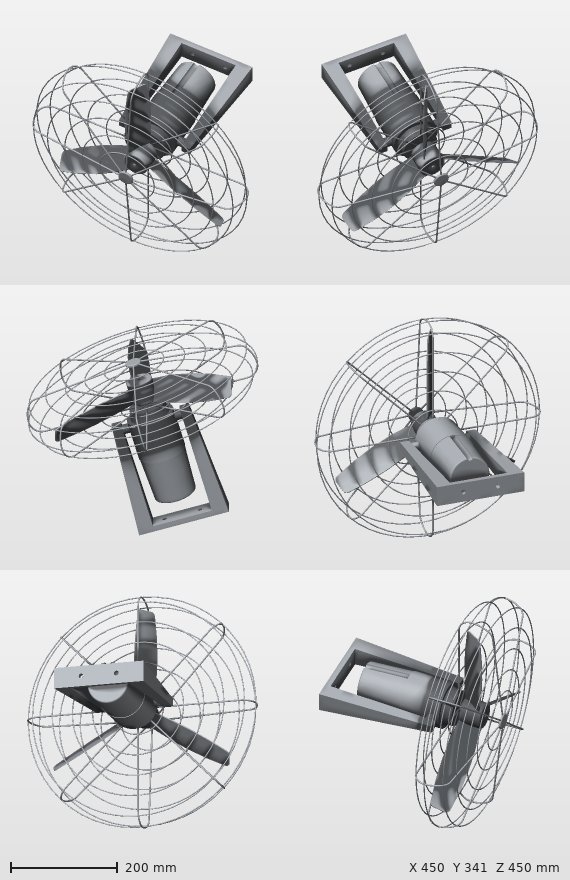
import cadquery as cq
import math


guard_radius = 225.0
total_depth = 341.0

wall_half_width = 87.8
wall_half_height = 20.0
tip_half_width = 75.5
tip_half_height = 7.5
arm_inner_x = 57.5
arm_tip_y = 115.5
wall_plate_thickness = 11.0
screw_hole_spacing = 69.5
screw_hole_diameter = 9.0
pin_diameter = 18.5
pin_y = 130.0

motor_radius = 45.5
motor_front_y = 114.5
motor_step_y = 194.5
motor_rear_y = 285.0
cover_front_radius = 44.5
cover_rear_radius = 40.0
cover_fillet = 3.0
groove_radius = 6.5
neck_rear_radius = 38.0
neck_front_radius = 34.5
neck_front_y = 93.0

hub_radius = 25.0
hub_front_y = 38.5
hub_rear_y = 82.5
hub_fillet = 2.5
shaft_radius = 3.0
shaft_overhang = 2.5
blade_count = 3
blade_thickness = 2.2
blade_pitch = 32.0
blade_center_x = -5.5
blade_center_y = 60.8
blade_root = 21.5
blade_belly = 99.0
blade_tip = 199.0
blade_tip_fillet = 9.0
rear_edge_root, rear_edge_belly, rear_edge_tip = 25.0, 28.5, 18.0
front_edge_root, front_edge_belly, front_edge_tip = 19.0, 28.0, 20.5

spoke_count = 8
spoke_diameter = 3.0
spoke_rear_y = 92.2
spoke_rear_start = 2.2
spoke_front_end = 6.8
spoke_outer_radius = 223.0
rim_bend_radius = 25.5
side_bend_radius = 61.0
side_bend_angle = math.radians(34.0)
front_bend_radius = 21.0
front_slope = math.radians(6.2)
ring_wire_radius = 1.12
ring_pitch = 39.5
front_ring_count = 4
front_ring_first = 58.0
rear_ring_count = 5
rear_ring_first = 50.0
rim_ring_y = 66.5
badge_radius = 15.5
badge_thickness = 4.5
badge_fillet = 2.2

rim_bend_start = (spoke_outer_radius - rim_bend_radius, spoke_rear_y)
rim_bend_end = (spoke_outer_radius, spoke_rear_y - rim_bend_radius)
side_bend_end = (
    spoke_outer_radius - side_bend_radius * (1 - math.cos(side_bend_angle)),
    rim_bend_end[1] - side_bend_radius * math.sin(side_bend_angle),
)
front_bend_end = (
    side_bend_end[0] - front_bend_radius * (math.cos(side_bend_angle) - math.sin(front_slope)),
    side_bend_end[1] - front_bend_radius * (math.cos(front_slope) - math.sin(side_bend_angle)),
)


def front_wire_y(radius):
    """Y of the spoke center line on the conical front, at a distance from the fan axis."""
    return front_bend_end[1] - (front_bend_end[0] - radius) * math.tan(front_slope)


def rear_wire_y(radius):
    """Y of the spoke center line on the flat rear and its rim bend, at a distance from the fan axis."""
    bend_offset = max(0, radius - rim_bend_start[0])
    return rim_bend_end[1] + math.sqrt(rim_bend_radius**2 - bend_offset**2)


def y_cylinder(radius, y_start, y_end):
    """Cylinder on the fan axis between two Y positions."""
    return cq.Workplane("XZ", origin=(0, y_start, 0)).circle(radius).extrude(y_start - y_end)


def make_bracket():
    """Tapered U-shaped bracket with two screw holes through the wall plate."""
    block = (
        cq.Workplane("XZ", origin=(0, total_depth, 0))
        .rect(2 * wall_half_width, 2 * wall_half_height)
        .workplane(offset=total_depth - arm_tip_y)
        .rect(2 * tip_half_width, 2 * tip_half_height)
        .loft(ruled=True)
    )
    inner_length = total_depth - wall_plate_thickness
    opening = cq.Workplane("XY").box(
        2 * arm_inner_x, inner_length, 3 * wall_half_height, centered=(True, False, True)
    )
    screw_holes = (
        cq.Workplane("XZ", origin=(0, total_depth, 0))
        .pushPoints([(-screw_hole_spacing / 2, 0), (screw_hole_spacing / 2, 0)])
        .circle(screw_hole_diameter / 2)
        .extrude(2 * wall_plate_thickness)
    )
    return block.cut(opening).cut(screw_holes)


def make_pivot_pin():
    """Cross pin that joins both bracket arms to the motor."""
    return (
        cq.Workplane("YZ", origin=(-arm_inner_x, pin_y, 0))
        .circle(pin_diameter / 2)
        .extrude(2 * arm_inner_x)
    )


def make_motor():
    """Motor body, tapered rear cover with a top groove, and flared front neck."""
    flare_length = motor_front_y - neck_front_y
    flare_depth = neck_rear_radius - neck_front_radius
    flare_radius = (flare_length**2 + flare_depth**2) / (2 * flare_depth)
    body = (
        cq.Workplane("XY")
        .moveTo(0, neck_front_y)
        .lineTo(neck_front_radius, neck_front_y)
        .radiusArc((neck_rear_radius, motor_front_y), flare_radius)
        .lineTo(motor_radius, motor_front_y)
        .lineTo(motor_radius, motor_step_y)
        .lineTo(cover_front_radius, motor_step_y)
        .lineTo(cover_rear_radius, motor_rear_y)
        .lineTo(0, motor_rear_y)
        .close()
        .revolve(360, (0, 0, 0), (0, 1, 0))
        .faces(">Y")
        .edges()
        .fillet(cover_fillet)
    )
    cover_length = motor_rear_y - motor_step_y
    cover_slope = (cover_rear_radius - cover_front_radius) / cover_length
    groove_plane = cq.Plane(
        origin=(0, motor_step_y, cover_front_radius), xDir=(1, 0, 0), normal=(0, 1, cover_slope)
    )
    groove = cq.Workplane(groove_plane).circle(groove_radius).extrude(2 * cover_length)
    return body.cut(groove)


def make_blade():
    """Flat pitched blade that points up from the hub."""
    blade = (
        cq.Workplane("YZ")
        .moveTo(-front_edge_root, blade_root)
        .threePointArc((-front_edge_belly, blade_belly), (-front_edge_tip, blade_tip))
        .lineTo(rear_edge_tip, blade_tip)
        .threePointArc((rear_edge_belly, blade_belly), (rear_edge_root, blade_root))
        .close()
        .extrude(blade_thickness / 2, both=True)
        .edges("|X and >Z")
        .fillet(blade_tip_fillet)
    )
    return blade.rotate((0, 0, 0), (0, 0, 1), -blade_pitch).translate((blade_center_x, blade_center_y, 0))


def make_rotor():
    """Hub on its shaft with equally spaced blades."""
    rotor = y_cylinder(hub_radius, hub_front_y, hub_rear_y).edges().fillet(hub_fillet)
    rotor = rotor.union(y_cylinder(shaft_radius, hub_front_y - shaft_overhang, motor_front_y))
    blade = make_blade()
    for index in range(blade_count):
        rotor = rotor.union(blade.rotate((0, 0, 0), (0, 1, 0), index * 360 / blade_count))
    return rotor


def make_spoke():
    """Bent guard wire from the neck, around the rim and back to the badge."""
    path = (
        cq.Workplane("XY")
        .moveTo(spoke_rear_start, spoke_rear_y)
        .lineTo(*rim_bend_start)
        .tangentArcPoint(rim_bend_end, relative=False)
        .tangentArcPoint(side_bend_end, relative=False)
        .tangentArcPoint(front_bend_end, relative=False)
        .lineTo(spoke_front_end, front_wire_y(spoke_front_end))
    )
    section = cq.Workplane("YZ", origin=(spoke_rear_start, spoke_rear_y, 0)).circle(spoke_diameter / 2)
    return section.sweep(path)


def make_ring(radius, y):
    """Wire ring around the fan axis; the radius is that of the wire center line."""
    torus = cq.Solid.makeTorus(radius, ring_wire_radius, cq.Vector(0, y, 0), cq.Vector(0, 1, 0))
    return cq.Workplane(torus)


def make_guard():
    """Wire cage: spokes, front and rear rows of rings, two rim rings and the front badge."""
    guard = y_cylinder(badge_radius, 0, badge_thickness).faces("<Y").edges().fillet(badge_fillet)
    spoke = make_spoke()
    for index in range(spoke_count):
        guard = guard.union(spoke.rotate((0, 0, 0), (0, 1, 0), index * 360 / spoke_count))
    for index in range(front_ring_count):
        radius = front_ring_first + index * ring_pitch
        guard = guard.union(make_ring(radius, front_wire_y(radius)))
    for index in range(rear_ring_count):
        radius = rear_ring_first + index * ring_pitch
        guard = guard.union(make_ring(radius, rear_wire_y(radius)))
    guard = guard.union(make_ring(guard_radius - ring_wire_radius, rim_ring_y))
    return guard.union(make_ring(*side_bend_end))


result = (
    make_motor()
    .union(make_pivot_pin())
    .union(make_bracket())
    .union(make_rotor())
    .union(make_guard())
)